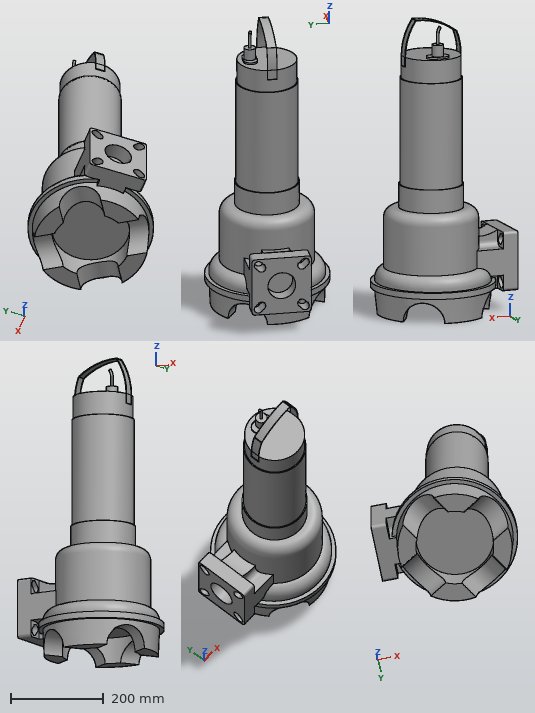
import cadquery as cq
import math


plate_bottom = 56.5
plate_top = 70.0
volute_top = 102.0
housing_top = 232.5
collar_top = 283.5
tube_top = 518.0
cap_top = 568.5
pump_top = 649.0

volute_axis_x = -4.5
plate_diameter = 270.5
volute_radius = 126.0
volute_fillet = 26.0
foot_bottom_radius = 123.0
foot_cavity_diameter = 167.5
arch_radius = 45.5
arch_count = 4
first_arch_angle = -122.0
barrel_diameter = 206.0
barrel_fillet = 23.5

pump_length = 307.0
flange_face_x = volute_axis_x + plate_diameter / 2 - pump_length
flange_thickness = 34.0
flange_back_x = flange_face_x + flange_thickness
flange_side = 130.0
flange_corner_radius = 6.5
flange_z = 111.0
flange_top = flange_z + flange_side / 2
bore_diameter = 60.5
slot_width = 18.0
slot_length = 28.0
slot_offset = 47.7
flat_bar_height = 58.5
upright_bar_width = bore_diameter
neck_fillet = 13.5
neck_end_x = -65.0
neck_hollow_radius = 81.0
neck_hollow_depth = 12.0

collar_diameter = 140.0
tube_diameter = 135.0
cap_diameter = 130.0

strap_thickness = 2.0
strap_width = 21.0
strap_outer_x = 65.5
strap_bottom = 547.0
left_corner = (-56.0, 618.0)
right_corner = (40.0, pump_top)
left_bend_radius = 130.0
right_bend_radius = 141.0
grip_radius = 156.0

gland_y = 37.5
gland_flange_length = 50.5
gland_flange_width = 30.5
gland_flange_thickness = 4.0
gland_diameter = 25.0
gland_top = 598.0
cable_diameter = 6.0
cable_bend_start = 618.0
cable_bend_radius = 33.0
cable_bend_angle = 33.0


def cylinder(diameter, bottom, top, x=0.0, y=0.0):
    """Upright cylinder between two heights."""
    return cq.Workplane("XY", origin=(x, y, bottom)).circle(diameter / 2).extrude(top - bottom)


def make_foot():
    """Slightly conical foot below the plate, still solid."""
    return (
        cq.Workplane("XZ")
        .lineTo(foot_bottom_radius, 0)
        .lineTo(volute_radius, plate_bottom)
        .lineTo(0, plate_bottom)
        .close()
        .revolve(360, (0, 0), (0, 1))
        .translate((volute_axis_x, 0, 0))
    )


def make_neck():
    """Cross-shaped neck behind the flange, with filleted inner corners."""
    neck_length = neck_end_x - flange_back_x
    plane = cq.Workplane("YZ", origin=(flange_back_x, 0, flange_z))
    flat_bar = plane.rect(flange_side, flat_bar_height).extrude(neck_length)
    upright_bar = plane.rect(upright_bar_width, flange_side).extrude(neck_length)
    reach_y = upright_bar_width / 2 + neck_fillet
    reach_z = flat_bar_height / 2 + neck_fillet
    inner_corners = cq.selectors.BoxSelector(
        (flange_back_x, -reach_y, flange_z - reach_z),
        (neck_end_x, reach_y, flange_z + reach_z),
    )
    neck = flat_bar.union(upright_bar).edges("|X").edges(inner_corners).fillet(neck_fillet)
    return neck.cut(make_neck_hollow())


def make_neck_hollow():
    """Space above the upright bar: a concave arc falls from the flange to a level stretch."""
    hollow_run = math.sqrt(2 * neck_hollow_radius * neck_hollow_depth - neck_hollow_depth**2)
    level_z = flange_top - neck_hollow_depth
    return (
        cq.Workplane("XZ")
        .moveTo(flange_back_x, flange_top)
        .radiusArc((flange_back_x + hollow_run, level_z), -neck_hollow_radius)
        .lineTo(neck_end_x, level_z)
        .lineTo(neck_end_x, flange_top)
        .close()
        .extrude(flange_side / 2, both=True)
    )


def make_flange():
    """Square discharge flange with a blind bore and four slots pointing at the bore axis."""
    face = cq.Workplane("YZ", origin=(flange_face_x, 0, flange_z))
    flange = face.rect(flange_side, flange_side).extrude(flange_thickness)
    flange = flange.edges("|X").fillet(flange_corner_radius)
    for y_side in (-1, 1):
        for z_side in (-1, 1):
            slot = (
                face.center(y_side * slot_offset, z_side * slot_offset)
                .slot2D(slot_length, slot_width, 45 * y_side * z_side)
                .extrude(flange_thickness)
            )
            flange = flange.cut(slot)
    return flange.cut(face.circle(bore_diameter / 2).extrude(flange_thickness))


def make_arch(angle):
    """Radial tunnel that opens the foot wall down to the ground in the given direction."""
    return (
        cq.Workplane("YZ")
        .moveTo(-arch_radius, 0)
        .threePointArc((0, arch_radius), (arch_radius, 0))
        .lineTo(arch_radius, -arch_radius)
        .lineTo(-arch_radius, -arch_radius)
        .close()
        .extrude(plate_diameter / 2)
        .rotate((0, 0, 0), (0, 0, 1), angle)
        .translate((volute_axis_x, 0, 0))
    )


def make_housing():
    """Foot, plate, volute, barrel, neck and discharge flange in one casting."""
    plate = cylinder(plate_diameter, plate_bottom, plate_top, volute_axis_x)
    volute = cylinder(2 * volute_radius, plate_top, volute_top, volute_axis_x)
    volute = volute.faces(">Z").edges().fillet(volute_fillet)
    barrel = cylinder(barrel_diameter, plate_top, housing_top)
    barrel = barrel.faces(">Z").edges().fillet(barrel_fillet)
    housing = make_foot().union(plate).union(volute).union(barrel)
    housing = housing.union(make_neck()).union(make_flange())
    housing = housing.cut(cylinder(foot_cavity_diameter, 0, plate_bottom, volute_axis_x))
    for index in range(arch_count):
        housing = housing.cut(make_arch(first_arch_angle + index * 360 / arch_count))
    return housing


def make_handle():
    """Thin bent strap whose two legs are let into the sides of the cap."""
    outline = (
        cq.Workplane("XZ")
        .moveTo(-strap_outer_x, strap_bottom)
        .lineTo(-strap_outer_x, cap_top)
        .radiusArc(left_corner, left_bend_radius)
        .radiusArc(right_corner, grip_radius)
        .radiusArc((strap_outer_x, cap_top), right_bend_radius)
        .lineTo(strap_outer_x, strap_bottom)
        .close()
        .extrude(strap_width / 2, both=True)
    )
    return outline.faces("<Z or <Y or >Y").shell(-strap_thickness)


def make_gland():
    """Round cable gland on an oval flange."""
    gland_base = cap_top + gland_flange_thickness
    flange = (
        cq.Workplane("XY", origin=(0, gland_y, cap_top))
        .slot2D(gland_flange_length, gland_flange_width)
        .extrude(gland_flange_thickness)
    )
    return flange.union(cylinder(gland_diameter, gland_base, gland_top, y=gland_y))


def make_cable():
    """Cable stub that rises straight and then bends towards -X."""
    bend = math.radians(cable_bend_angle)
    bend_end = (
        -cable_bend_radius * (1 - math.cos(bend)),
        cable_bend_start + cable_bend_radius * math.sin(bend),
    )
    path = (
        cq.Workplane("XZ", origin=(0, gland_y, 0))
        .moveTo(0, gland_top)
        .lineTo(0, cable_bend_start)
        .radiusArc(bend_end, -cable_bend_radius)
    )
    section = cq.Workplane("XY", origin=(0, gland_y, gland_top)).circle(cable_diameter / 2)
    return section.sweep(path)


housing = make_housing()
collar = cylinder(collar_diameter, housing_top, collar_top)
tube = cylinder(tube_diameter, collar_top, tube_top)
handle = make_handle()
cap = cylinder(cap_diameter, tube_top, cap_top).cut(handle)
gland = make_gland()
cable = make_cable()

result = cq.Compound.makeCompound(
    [
        housing.val(),
        collar.val(),
        tube.val(),
        cap.val(),
        handle.val(),
        gland.val(),
        cable.val(),
    ]
)